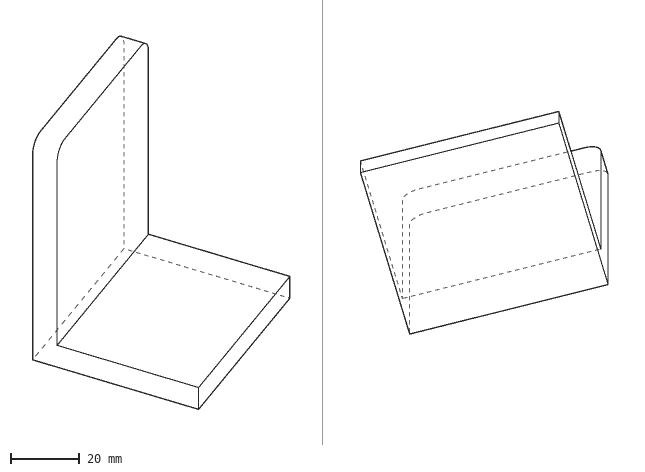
import cadquery as cq

length = 54.0
width = 60.0
height = 80.0
thickness = 8.0
corner_radius = 5.0


def make_upright():
    """Vertical plate with its two top corners rounded."""
    plate = cq.Workplane("XY").box(thickness, width, height, centered=(False, True, False))
    return plate.edges("|X and >Z").fillet(corner_radius)


def make_base():
    """Plain horizontal plate, sharing the outer corner with the upright."""
    return cq.Workplane("XY").box(length, width, thickness, centered=(False, True, False))


result = make_upright().union(make_base())